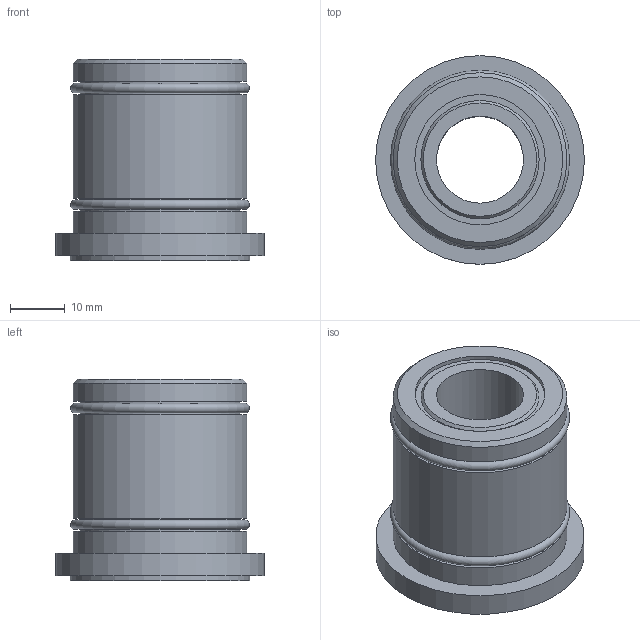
import cadquery as cq

flange_radius = 19.05
body_radius = 15.875
pilot_radius = 16.4
pilot_height = 0.93
flange_top = 5.06
total_height = 36.78
rim_chamfer = 0.76

cord_diameter = 1.74
cord_radius = cord_diameter / 2
groove_floor_radius = 14.6
groove_width = 2.44
lower_ring_height = 10.23
ring_spacing = 21.27
ring_heights = [lower_ring_height, lower_ring_height + ring_spacing]
ring_center_radius = groove_floor_radius + cord_radius

bore_radius = 7.9375
recess_radius = 11.9
recess_depth = 0.76
collar_base_radius = 10.8
collar_top_radius = 10.35
collar_top = total_height - 0.25
recess_floor = total_height - recess_depth


def make_bushing():
    """Flanged bushing turned about Z, with its two O-ring grooves cut."""
    bushing = (
        cq.Workplane("XZ")
        .moveTo(bore_radius, 0)
        .lineTo(pilot_radius, 0)
        .lineTo(pilot_radius, pilot_height)
        .lineTo(flange_radius, pilot_height)
        .lineTo(flange_radius, flange_top)
        .lineTo(body_radius, flange_top)
        .lineTo(body_radius, total_height - rim_chamfer)
        .lineTo(body_radius - rim_chamfer, total_height)
        .lineTo(recess_radius, total_height)
        .lineTo(recess_radius, recess_floor)
        .lineTo(collar_base_radius, recess_floor)
        .lineTo(collar_top_radius, collar_top)
        .lineTo(bore_radius, collar_top)
        .close()
        .revolve(360, (0, 0, 0), (0, 1, 0))
    )
    for height in ring_heights:
        bushing = bushing.cut(make_groove(height))
    return bushing


def make_groove(height):
    """Annular cutter for a square groove centred on the given height."""
    return (
        cq.Workplane("XY")
        .workplane(offset=height - groove_width / 2)
        .circle(flange_radius)
        .circle(groove_floor_radius)
        .extrude(groove_width)
    )


def make_o_ring(height):
    """Round-cord O-ring resting on the groove floor."""
    return cq.Workplane(
        cq.Solid.makeTorus(ring_center_radius, cord_radius, cq.Vector(0, 0, height), cq.Vector(0, 0, 1))
    )


bushing = make_bushing()
o_rings = [make_o_ring(height) for height in ring_heights]

result = cq.Compound.makeCompound([bushing.val(), *[ring.val() for ring in o_rings]])